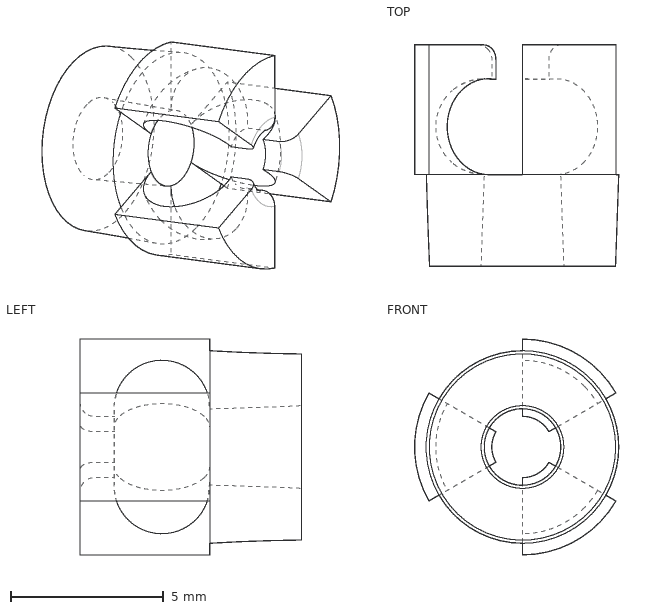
import cadquery as cq
import math

collar_length = 3.0
collar_front_radius = 3.05
bore_front_radius = 1.355
wall_draft = 2.0

claw_length = 4.25
claw_outer_radius = 3.535
claw_inner_radius = 1.0
claw_count = 3
claw_angle = 60.0
first_claw_start = 30.0
mouth_round = 0.48

socket_radius = 1.57
socket_ring_radius = 1.27

step_y = 0.0
front_y = step_y - collar_length
rear_y = step_y + claw_length
socket_y = step_y + socket_radius
lip_y = socket_y + math.sqrt(socket_radius**2 - (socket_ring_radius - claw_inner_radius) ** 2)
draft_growth = collar_length * math.tan(math.radians(wall_draft))
collar_rear_radius = collar_front_radius + draft_growth
bore_rear_radius = bore_front_radius - draft_growth


def revolve_about_axis(profile, angle=360.0):
    """Revolve a closed (radius, y) profile about the Y axis."""
    return profile.close().revolve(angle, (0, 0, 0), (0, 1, 0))


def make_collar():
    """Collar whose outside widens, and whose bore narrows, towards the claws."""
    profile = (
        cq.Workplane("XY")
        .moveTo(bore_front_radius, front_y)
        .lineTo(collar_front_radius, front_y)
        .lineTo(collar_rear_radius, step_y)
        .lineTo(bore_rear_radius, step_y)
    )
    return revolve_about_axis(profile)


def make_claw(start_angle):
    """One claw: a ring sector hollowed by the socket, with a rounded mouth edge."""
    profile = (
        cq.Workplane("XY")
        .moveTo(socket_ring_radius, step_y)
        .lineTo(claw_outer_radius, step_y)
        .lineTo(claw_outer_radius, rear_y)
        .lineTo(claw_inner_radius + mouth_round, rear_y)
        .radiusArc((claw_inner_radius, rear_y - mouth_round), -mouth_round)
        .lineTo(claw_inner_radius, lip_y)
        .threePointArc(
            (socket_ring_radius + socket_radius, socket_y),
            (socket_ring_radius, step_y),
        )
    )
    end_angle = start_angle + claw_angle
    sector = revolve_about_axis(profile, claw_angle)
    return sector.rotate((0, 0, 0), (0, 1, 0), -end_angle)


result = make_collar()
for index in range(claw_count):
    result = result.union(make_claw(first_claw_start + index * 360.0 / claw_count))